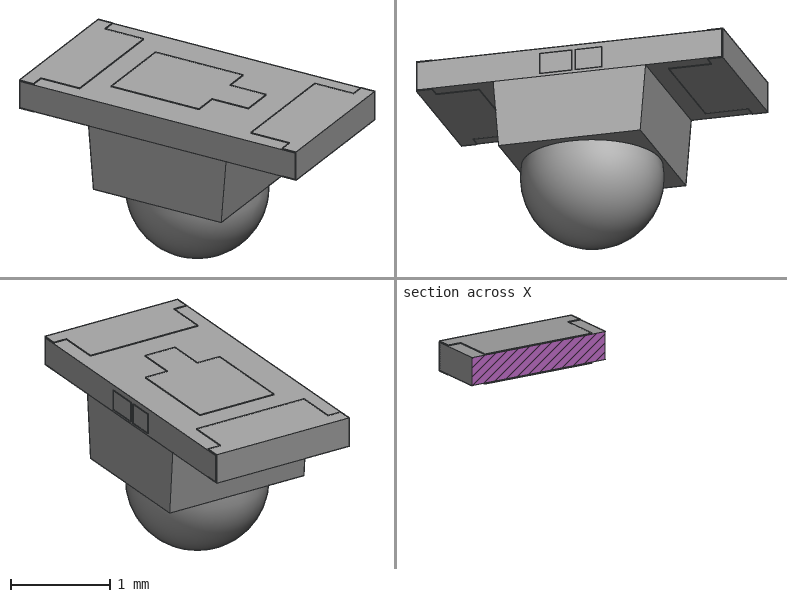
import cadquery as cq

film_thickness = 0.01
overall_length = 3.22
board_length = overall_length - 2 * film_thickness
board_width = 1.6
board_thickness = 0.3

pad_strip_length = 0.165
pad_strip_width = board_width - 2 * film_thickness
pad_length = 0.615
pad_tongue_width = 1.28

mark_left = -0.745
mark_shoulder = 0.277
mark_right = 0.7
mark_width = 0.885
mark_tab_width = 0.357

edge_plate_spans = [(-0.34, -0.065), (-0.025, 0.31)]
edge_plate_height = 0.215
edge_plate_bottom = 0.03

block_top_length = board_width
block_bottom_length = 1.488
block_height = 0.7
dome_radius = 0.725
dome_height = 0.853


def plate(left, right, width, bottom, height):
    """Rectangular plate between two X positions, centred on Y."""
    return (
        cq.Workplane("XY")
        .box(right - left, width, height, centered=(False, True, False))
        .translate((left, 0, bottom))
    )


def make_end_pads():
    """Pads that wrap over the top, end and underside of the board."""
    bottom = -film_thickness
    height = board_thickness + 2 * film_thickness
    end = -overall_length / 2
    strip = plate(end, end + pad_strip_length, pad_strip_width, bottom, height)
    tongue = plate(end, end + pad_length, pad_tongue_width, bottom, height)
    pad = strip.union(tongue)
    return pad.union(pad.mirror("YZ"))


def make_polarity_mark():
    """Raised mark on top of the board."""
    base = plate(mark_left, mark_shoulder, mark_width, board_thickness, film_thickness)
    tab = plate(mark_shoulder, mark_right, mark_tab_width, board_thickness, film_thickness)
    return base.union(tab)


def make_edge_plate(left, right):
    """Thin plate standing on the +Y edge of the board."""
    return (
        cq.Workplane("XY")
        .box(right - left, film_thickness, edge_plate_height, centered=False)
        .translate((left, board_width / 2, edge_plate_bottom))
    )


def make_board():
    """Board with its pads and marks, all one solid."""
    half_length = board_length / 2
    body = plate(-half_length, half_length, board_width, 0, board_thickness)
    body = body.union(make_end_pads()).union(make_polarity_mark())
    for left, right in edge_plate_spans:
        body = body.union(make_edge_plate(left, right))
    return body


def make_lens():
    """Tapered block under the board, with a dome cut from a sphere below it."""
    block = (
        cq.Workplane("XZ")
        .polyline([
            (-block_top_length / 2, 0),
            (block_top_length / 2, 0),
            (block_bottom_length / 2, -block_height),
            (-block_bottom_length / 2, -block_height),
        ])
        .close()
        .extrude(board_width / 2, both=True)
    )
    dome_center = -block_height - dome_height + dome_radius
    dome = cq.Workplane("XY").sphere(dome_radius).translate((0, 0, dome_center))
    return block.union(dome)


board = make_board()
lens = make_lens()

result = cq.Compound.makeCompound([board.val(), lens.val()])